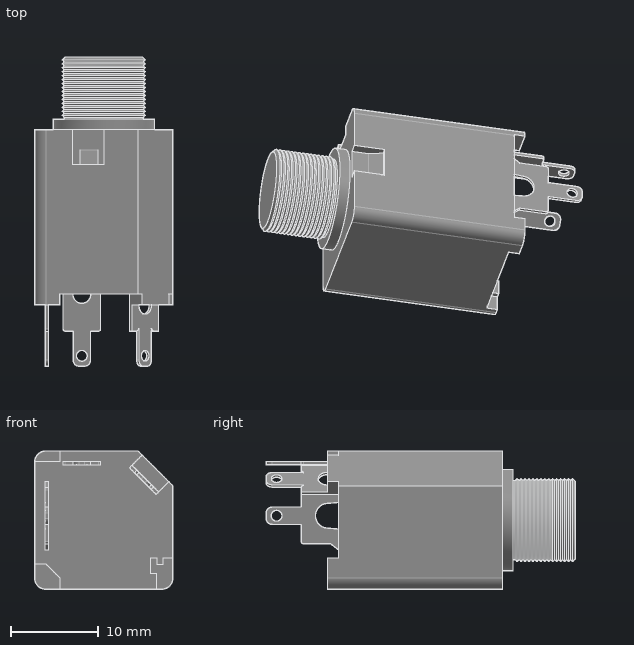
import cadquery as cq


body_size = 15.8
half = body_size / 2
body_length = 18.75
corner_radius = 1.3
corner_chamfer = 4.0

post_length = 1.25
post_leg = 2.9
post_chamfer = 1.6
keyed_post_width = 2.55
keyed_post_foot_width = 1.9
keyed_post_height = 3.6
keyed_post_foot_height = 1.8
key_notch_near = 1.15
key_notch_far = 1.8
key_notch_depth = 0.75

flange_radius = 5.8
flange_length = 1.2
thread_radius = 4.75
thread_length = 7.1
thread_depth = 0.22
thread_pitch = 0.452
thread_crests = 15
thread_end_chamfer = 0.33

pocket_width = 3.6
pocket_depth = 1.2
top_pocket_x = -1.75
top_pocket_length = 4.0
top_catch_x = -1.7
top_catch_width = 2.05
top_catch_length = 1.7
top_catch_rise = 0.4
side_pocket_z = 0.25
side_pocket_length = 3.55
side_catch_width = 3.1
side_catch_length = 1.6
side_catch_rise = 0.5

terminal_inset = 1.2
terminal_face = half - terminal_inset
terminal_thickness = 0.4
terminal_length = 8.25
terminal_width = 4.3
tab_length = 4.0
tab_width = 2.0
tab_corner = 0.7
shoulder_corner = 0.25
solder_hole_diameter = 1.2
solder_hole_from_end = 1.2
window_radius = 1.0
top_terminal_x = -2.5
top_window_from_body = 0.05
corner_window_from_body = 1.3
wide_terminal_z = 0.5
wide_terminal_width = 6.4
wide_terminal_base_width = 7.8
wide_terminal_flare_length = 0.9
wide_window_base_width = 3.0
wide_window_radius = 1.4
wide_window_from_body = 1.2
relief_width = 0.35
relief_depth = 0.3


def box(x_range, y_range, z_range):
    """Axis-aligned block between the given limits."""
    size = [high - low for low, high in (x_range, y_range, z_range)]
    low_corner = (x_range[0], y_range[0], z_range[0])
    return cq.Workplane("XY").box(*size, centered=False).translate(low_corner)


def turned_toward(part, angle):
    """Turn a part about the Y axis, so that its +Z side faces +X at 90 degrees, -X at -90."""
    return part.rotate((0, 0, 0), (0, 1, 0), angle)


def body_prism(length):
    """Body cross-section, drawn back from Y = 0."""
    prism = cq.Workplane("XZ").rect(body_size, body_size).extrude(length)
    prism = prism.edges("|Y and (<X or >X)").edges("<X or <Z").fillet(corner_radius)
    return prism.edges("|Y and >X and >Z").chamfer(corner_chamfer)


def posts():
    """Four standoff posts at the rear corners, cut to the outline of the body."""
    rear = (-body_length - post_length, -body_length)
    upper_left = box((-half, post_leg - half), rear, (terminal_face, half))
    lower_left = box((-half, post_leg - half), rear, (-half, post_leg - half))
    lower_left = lower_left.edges("|Y and >X and >Z").chamfer(post_chamfer)

    head_bottom = keyed_post_foot_height - half
    head_top = keyed_post_height - half
    foot = box((half - keyed_post_foot_width, half), rear, (-half, head_bottom))
    head = box((half - keyed_post_width, half), rear, (head_bottom, head_top))
    notch = box((half - key_notch_far, half - key_notch_near), rear, (head_top - key_notch_depth, head_top))
    keyed = foot.union(head).cut(notch)

    corner = box((-terminal_width / 2, terminal_width / 2), rear, (terminal_face, body_size))
    corner = turned_toward(corner, 45)
    outline = body_prism(body_length + post_length)
    return upper_left.union(lower_left).union(keyed).union(corner).intersect(outline)


def bushing():
    """Flange and thread; the thread is a stack of V-shaped rings."""
    root_radius = thread_radius - thread_depth
    tip = flange_length + thread_length
    outline = [(0, 0), (flange_radius, 0), (flange_radius, flange_length), (root_radius, flange_length)]
    first_crest = tip - thread_end_chamfer - (thread_crests - 1) * thread_pitch
    for ring in range(thread_crests):
        crest = first_crest + ring * thread_pitch
        outline.append((root_radius, crest - thread_pitch / 2))
        outline.append((thread_radius, crest))
    outline += [(thread_radius - thread_end_chamfer, tip), (0, tip)]
    return cq.Workplane("XY").polyline(outline).close().revolve(360, (0, 0), (0, 1))


def latch_pocket(center, length):
    """Pocket open to the front, cut into the +Z side."""
    floor = half - pocket_depth
    return box((center - pocket_width / 2, center + pocket_width / 2), (-length, 0), (floor, half))


def catch(center, width, start, length, rise):
    """Ramp on a pocket floor of the +Z side, climbing toward the rear."""
    floor = half - pocket_depth
    end = -start - length
    ramp = cq.Workplane("YZ").polyline([(-start, floor), (end, floor), (end, floor + rise)])
    return ramp.close().extrude(width).translate((center - width / 2, 0, 0))


def terminal(width, radius, window_from_body, round_shoulders=True):
    """Flat terminal lying under the plane Z = terminal_face, centred on X = 0."""
    end = -body_length - terminal_length
    shoulder = end + tab_length
    plate_z = (terminal_face - terminal_thickness, terminal_face)
    plate = box((-width / 2, width / 2), (shoulder, -body_length), plate_z)
    if round_shoulders:
        plate = plate.edges("|Z and <Y").fillet(shoulder_corner)
    tab = box((-tab_width / 2, tab_width / 2), (end, shoulder), plate_z)
    tab = tab.edges("|Z and <Y").fillet(tab_corner)
    solder_hole = cq.Workplane("XY").center(0, end + solder_hole_from_end).circle(solder_hole_diameter / 2)
    solder_hole = solder_hole.extrude(half)
    window = cq.Workplane("XY").center(0, -body_length - window_from_body).circle(radius).extrude(half)
    return plate.union(tab).cut(solder_hole).cut(window)


def wide_terminal():
    """Terminal with a flared base and a long, tapered, round-ended window."""
    flare_end = -body_length - wide_terminal_flare_length
    base = wide_terminal_base_width / 2
    side = wide_terminal_width / 2
    flare = cq.Workplane("XY").workplane(offset=terminal_face - terminal_thickness)
    flare = flare.polyline([
        (-base, -body_length),
        (base, -body_length),
        (side, flare_end),
        (-side, flare_end),
    ])
    flare = flare.close().extrude(terminal_thickness)
    window_center = -body_length - wide_window_from_body
    mouth = wide_window_base_width / 2
    slot = cq.Workplane("XY").polyline([
        (-mouth, -body_length),
        (mouth, -body_length),
        (wide_window_radius, window_center),
        (-wide_window_radius, window_center),
    ])
    slot = slot.close().extrude(half)
    blank = terminal(wide_terminal_width, wide_window_radius, wide_window_from_body)
    return blank.union(flare).cut(slot)


def relieved_terminal():
    """Square-shouldered terminal with a triangular relief on each side of the tab."""
    shoulder = -body_length - terminal_length + tab_length
    tab_side = tab_width / 2
    blank = terminal(terminal_width, window_radius, corner_window_from_body, round_shoulders=False)
    for side in (-1, 1):
        relief = cq.Workplane("XY").polyline([
            (side * tab_side, shoulder),
            (side * tab_side, shoulder + relief_depth),
            (side * (tab_side + relief_width), shoulder),
        ])
        blank = blank.cut(relief.close().extrude(half))
    return blank


body = body_prism(body_length)
body = body.cut(latch_pocket(top_pocket_x, top_pocket_length))
body = body.cut(turned_toward(latch_pocket(side_pocket_z, side_pocket_length), -90))

top_catch = catch(
    top_catch_x, top_catch_width, top_pocket_length - top_catch_length, top_catch_length, top_catch_rise
)
side_catch_z = side_pocket_z + (pocket_width - side_catch_width) / 2
side_catch = catch(
    side_catch_z, side_catch_width, side_pocket_length - side_catch_length, side_catch_length, side_catch_rise
)

top_terminal = terminal(terminal_width, window_radius, top_window_from_body).translate((top_terminal_x, 0, 0))
corner_terminal = turned_toward(relieved_terminal(), 45)
side_terminal = turned_toward(wide_terminal().translate((wide_terminal_z, 0, 0)), -90)

result = body.union(posts()).union(bushing())
result = result.union(top_catch).union(turned_toward(side_catch, -90))
result = result.union(top_terminal).union(corner_terminal).union(side_terminal)